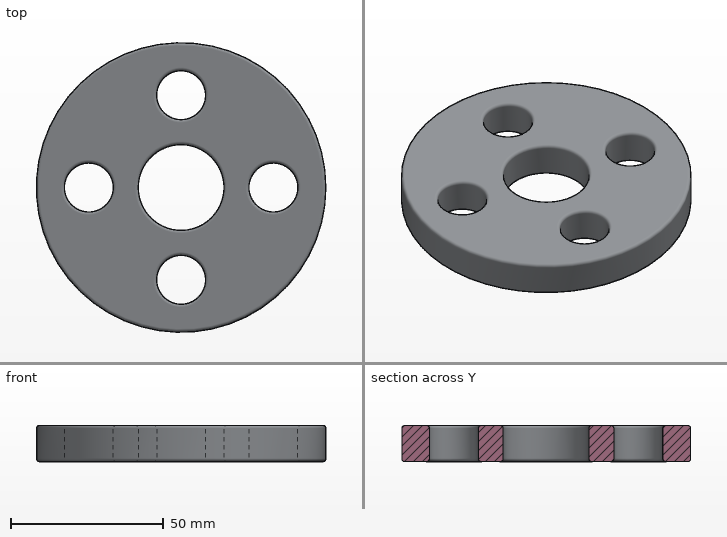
import cadquery as cq

disc_diameter = 95.0
disc_thickness = 12.0
bore_diameter = 28.0
bolt_hole_diameter = 16.0
bolt_circle_diameter = 60.5
bolt_hole_count = 4
edge_radius = 1.0

disc = cq.Workplane("XY").circle(disc_diameter / 2).extrude(disc_thickness)

disc = disc.faces(">Z").workplane().hole(bore_diameter)

disc = (
    disc.faces(">Z")
    .workplane()
    .polarArray(bolt_circle_diameter / 2, 0, 360, bolt_hole_count)
    .hole(bolt_hole_diameter)
)

result = disc.faces("|Z").edges().fillet(edge_radius)